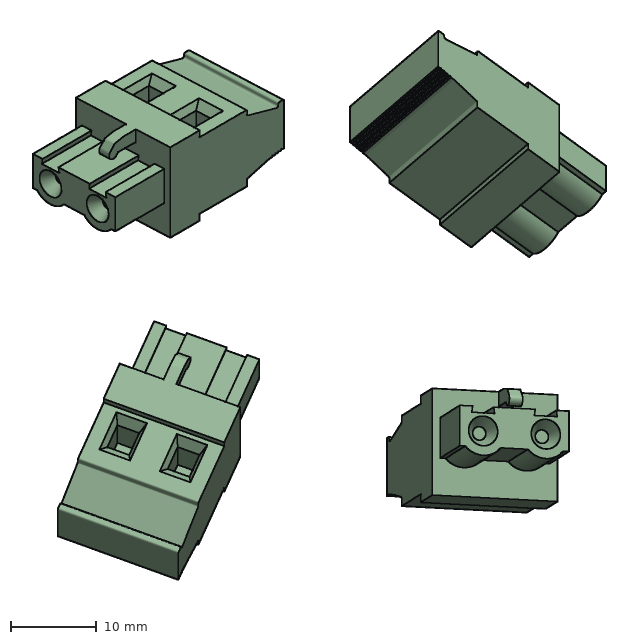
import cadquery as cq
import math

width = 15.24
length = 27.6
height = 12.7
pole_pitch = 7.62
pole_centres = (-pole_pitch / 2, pole_pitch / 2)

collar_front = 8.3
collar_rear = 13.3
body_rear = 21.33
body_bottom = 0.97
body_top = height - body_bottom
taper = math.tan(math.radians(15))
upper_taper_start = 10.9
lower_taper_start = 2.01
shoulder_edge_radius = 0.2
shoulder_root_radius = 0.17

lip_front = 26.6
lip_top = 10.18
lip_rear_radius = 0.22
lip_front_radius = 0.25
lip_root_radius = 0.28
grip_bottom = 3.28
grip_land = 0.25
groove_count = 4
groove_pitch = 0.5
groove_width = 0.33
groove_rise = 0.097
grip_step = 0.07

well_y = 16.55
well_mouth_width = 3.86
well_mouth_length = 5.3
well_shaft_width = 2.75
well_shaft_length = 3.12
well_funnel_depth = 0.97
well_shaft_depth = 4.55

plug_width = 13.3
plug_bottom = 4.45
plug_top = 9.25
pin_z = 6.35
sleeve_radius = 2.9
keyway_top_width = 2.57
keyway_floor_width = 2.8
keyway_depth = 0.75
funnel_mouth_diameter = 3.53
funnel_floor_diameter = 1.6
funnel_depth = 1.68

latch_x = 1.27
latch_width = 1.6
latch_bottom = 10.93
latch_bend = 6.18
latch_nose_z = 12.42
latch_nose_radius = 0.45
latch_root_radius = 0.15
hook_radius = 0.72
hook_y = 4.47
hook_z = 11.1
hook_front_angle = math.radians(47)
hook_rear_angle = math.radians(45)


def round_edge(solid, y, z, radius):
    """Fillet the edge along X that passes closest to (y, z)."""
    middle = solid.val().Center().x
    return solid.edges("|X").edges(cq.NearestToPointSelector((middle, y, z))).fillet(radius)


def make_housing():
    lip_root = upper_taper_start - (lip_front - body_rear) * taper
    profile = [
        (collar_front, 0),
        (collar_front, height),
        (collar_rear, height),
        (collar_rear, body_top),
        (body_rear, body_top),
        (body_rear, upper_taper_start),
        (lip_front, lip_root),
        (lip_front, lip_top),
        (length, lip_top),
        (length, grip_bottom),
    ]
    for i in range(groove_count):
        y = length - grip_land - i * groove_pitch
        z = grip_bottom - i * grip_step
        profile += [
            (y, z),
            (y - groove_width / 2, z + groove_rise),
            (y - groove_width, z - grip_step),
        ]
    grip_end_z = grip_bottom - groove_count * grip_step
    grip_end_y = body_rear + (grip_end_z - lower_taper_start) / taper
    profile += [
        (grip_end_y, grip_end_z),
        (body_rear, lower_taper_start),
        (body_rear, body_bottom),
        (collar_rear, body_bottom),
        (collar_rear, 0),
    ]
    housing = cq.Workplane("YZ").polyline(profile).close().extrude(width / 2, both=True)
    rounded_edges = [
        (body_rear, body_top, shoulder_edge_radius),
        (body_rear, upper_taper_start, shoulder_root_radius),
        (body_rear, lower_taper_start, shoulder_root_radius),
        (lip_front, lip_root, lip_root_radius),
        (lip_front, lip_top, lip_front_radius),
        (length, lip_top, lip_rear_radius),
    ]
    for y, z, radius in rounded_edges:
        housing = round_edge(housing, y, z, radius)
    return housing


def make_well(x):
    funnel = (
        cq.Workplane("XY", origin=(x, well_y, body_top))
        .rect(well_mouth_width, well_mouth_length)
        .workplane(offset=-well_funnel_depth)
        .rect(well_shaft_width, well_shaft_length)
        .loft(ruled=True)
    )
    shaft = (
        cq.Workplane("XY", origin=(x, well_y, body_top - well_funnel_depth))
        .rect(well_shaft_width, well_shaft_length)
        .extrude(-well_shaft_depth)
    )
    return funnel.union(shaft)


def make_plug():
    plug = cq.Workplane("XY").box(
        plug_width, collar_front, plug_top - plug_bottom, centered=(True, False, False)
    ).translate((0, 0, plug_bottom))
    tip = cq.Workplane("XZ")
    for x in pole_centres:
        plug = plug.union(tip.center(x, pin_z).circle(sleeve_radius).extrude(-collar_front))
    plug = plug.intersect(
        tip.center(0, plug_top / 2).rect(plug_width, plug_top).extrude(-collar_front)
    )
    for x in pole_centres:
        plug = plug.cut(make_keyway(x)).cut(make_pin_funnel(x))
    return plug


def make_keyway(x):
    floor_z = plug_top - keyway_depth
    outline = [
        (x - keyway_floor_width / 2, floor_z),
        (x - keyway_top_width / 2, plug_top),
        (x + keyway_top_width / 2, plug_top),
        (x + keyway_floor_width / 2, floor_z),
    ]
    return cq.Workplane("XZ").polyline(outline).close().extrude(-collar_front)


def make_pin_funnel(x):
    return cq.Workplane(
        cq.Solid.makeCone(
            funnel_mouth_diameter / 2,
            funnel_floor_diameter / 2,
            funnel_depth,
            pnt=cq.Vector(x, 0, pin_z),
            dir=cq.Vector(0, 1, 0),
        )
    )


def make_latch():
    front_tangent = (
        hook_y - hook_radius * math.sin(hook_front_angle),
        hook_z + hook_radius * math.cos(hook_front_angle),
    )
    rear_tangent = (
        hook_y + hook_radius * math.sin(hook_rear_angle),
        hook_z - hook_radius * math.cos(hook_rear_angle),
    )
    nose_y = front_tangent[0] + (latch_nose_z - front_tangent[1]) / math.tan(hook_front_angle)
    crook_y = rear_tangent[0] + (latch_bottom - rear_tangent[1]) / math.tan(hook_rear_angle)
    hook_end = (hook_y - hook_radius, hook_z)
    latch = (
        cq.Workplane("YZ", origin=(latch_x, 0, 0))
        .moveTo(collar_front, latch_bottom)
        .lineTo(collar_front, height)
        .lineTo(latch_bend, height)
        .lineTo(nose_y, latch_nose_z)
        .lineTo(*front_tangent)
        .threePointArc(hook_end, rear_tangent)
        .lineTo(crook_y, latch_bottom)
        .close()
        .extrude(latch_width / 2, both=True)
    )
    return round_edge(latch, nose_y, latch_nose_z, latch_nose_radius)


result = make_housing()
for pole_x in pole_centres:
    result = result.cut(make_well(pole_x))
result = result.union(make_plug()).union(make_latch())
latch_root = cq.NearestToPointSelector((latch_x, collar_front, latch_bottom))
result = result.edges("|X").edges(latch_root).fillet(latch_root_radius)